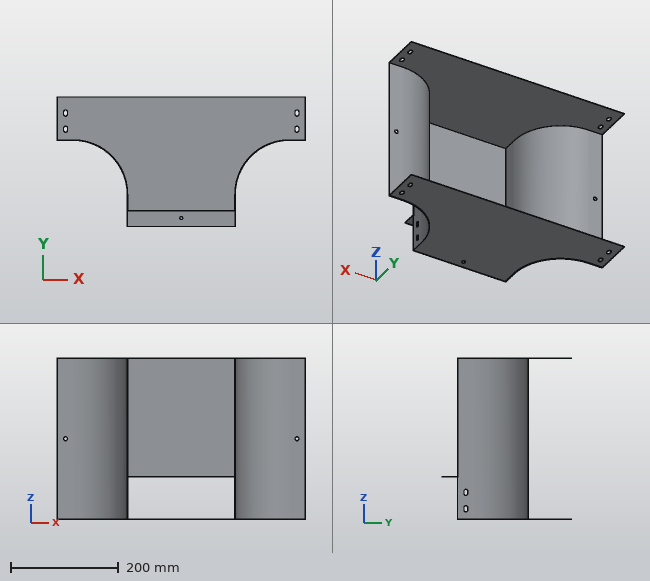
import cadquery as cq

length = 460.0
depth = 240.0
height = 300.0
sheet = 1.2
flange = 30.0
lip_depth = 30.0
bend_radius = 100.0
opening_height = 80.0

slot_width = 7.0
slot_length = 11.0
wall_hole_diameter = 7.0
lip_hole_diameter = 5.0
edge_distance = 15.5
run_slots_from_back = (30.0, 60.0)
branch_slot_heights = (20.2, 50.5)

half_length = length / 2
neck_half = half_length - flange - bend_radius
back_y = depth / 2
front_y = -back_y + lip_depth - sheet
bend_end_y = front_y + flange + sheet
shoulder_y = bend_end_y + bend_radius


def tee_outline(inset):
    """Tee outline, with its curved walls, shoulders and front edge moved inward."""
    neck = neck_half - inset
    shoulder = shoulder_y + inset
    bend_start_x = half_length - flange
    radius = bend_radius + inset
    diagonal = radius / 2 ** 0.5
    mid_x = bend_start_x - diagonal
    mid_y = bend_end_y + diagonal
    return (
        cq.Workplane("XY")
        .moveTo(-half_length, back_y)
        .lineTo(half_length, back_y)
        .lineTo(half_length, shoulder)
        .lineTo(bend_start_x, shoulder)
        .threePointArc((mid_x, mid_y), (neck, bend_end_y))
        .lineTo(neck, front_y + inset)
        .lineTo(-neck, front_y + inset)
        .lineTo(-neck, bend_end_y)
        .threePointArc((-mid_x, mid_y), (-bend_start_x, shoulder))
        .lineTo(-half_length, shoulder)
        .close()
    )


def block(x_size, y_min, y_max, z_min, z_max):
    """Box centred on X between the given Y and Z limits."""
    return (
        cq.Workplane("XY")
        .box(x_size, y_max - y_min, z_max - z_min, centered=(True, False, False))
        .translate((0, y_min, z_min))
    )


shell = tee_outline(0).extrude(height)
cavity = tee_outline(sheet).extrude(height - 2 * sheet).translate((0, 0, sheet))
shell = shell.cut(cavity)

opening_width = 2 * (neck_half - sheet)
lip_bottom = opening_height - sheet
shell = shell.cut(block(opening_width, front_y, front_y + sheet, sheet, lip_bottom))
lip = block(2 * neck_half, -back_y, front_y + sheet, lip_bottom, opening_height)
shell = shell.union(lip)

run_slots = (
    cq.Workplane("XY")
    .pushPoints([
        (side * (half_length - edge_distance), back_y - distance)
        for side in (-1, 1)
        for distance in run_slots_from_back
    ])
    .slot2D(slot_length, slot_width, 90)
    .extrude(height)
)

branch_slots = (
    cq.Workplane("YZ")
    .pushPoints([(front_y + edge_distance, z) for z in branch_slot_heights])
    .slot2D(slot_length, slot_width, 90)
    .extrude(neck_half + sheet, both=True)
)

wall_holes = (
    cq.Workplane("XZ", origin=(0, shoulder_y, 0))
    .pushPoints([(side * (half_length - edge_distance), height / 2) for side in (-1, 1)])
    .circle(wall_hole_diameter / 2)
    .extrude(2 * sheet, both=True)
)

lip_hole = (
    cq.Workplane("XY")
    .center(0, -back_y + edge_distance)
    .circle(lip_hole_diameter / 2)
    .extrude(opening_height)
)
floor_hole = (
    cq.Workplane("XY")
    .center(0, front_y + edge_distance)
    .circle(wall_hole_diameter / 2)
    .extrude(sheet)
)

result = shell
for cutter in (run_slots, branch_slots, wall_holes, lip_hole, floor_hole):
    result = result.cut(cutter)